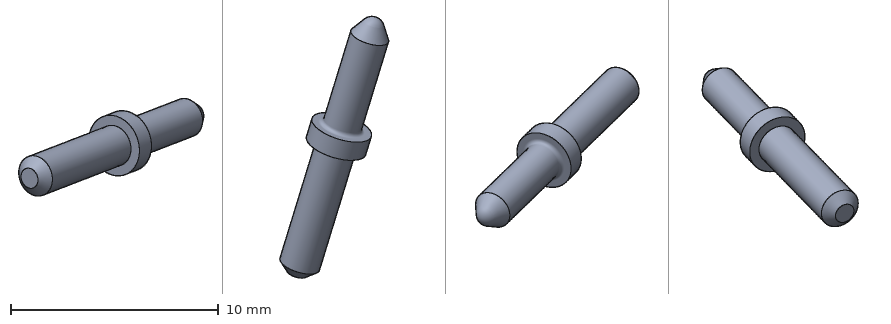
import cadquery as cq
import math

total_length = 14.0
rod_length = total_length / 2
collar_thickness = total_length / 14

rod_radius = total_length / 14
collar_radius = 1.5 * rod_radius
shaft_radius = 0.95

rod_chamfer = rod_radius / 2
root_fillet = 0.2
nose_length = collar_thickness
tip_radius = 0.6


def make_rod():
    """Plain rod with a chamfered free end; its other end butts on the collar."""
    cylinder = cq.Workplane("XZ").circle(rod_radius).extrude(-rod_length)
    return cylinder.faces("<Y").chamfer(rod_chamfer)


def make_collared_shaft():
    """Collar and guide shaft with a filleted root and a ball-tipped conical nose."""
    collar_top = rod_length + collar_thickness
    nose_start = total_length - nose_length
    tip_center = total_length - tip_radius

    base_offset = nose_start - tip_center
    base_distance = math.hypot(shaft_radius, base_offset)
    tangent_angle = math.atan2(base_offset, shaft_radius) + math.acos(tip_radius / base_distance)
    middle_angle = (tangent_angle + math.pi / 2) / 2

    def point_on_tip(angle):
        return (tip_radius * math.cos(angle), tip_center + tip_radius * math.sin(angle))

    profile = (
        cq.Workplane("XY")
        .moveTo(0, rod_length)
        .lineTo(collar_radius, rod_length)
        .lineTo(collar_radius, collar_top)
        .lineTo(shaft_radius + root_fillet, collar_top)
        .radiusArc((shaft_radius, collar_top + root_fillet), root_fillet)
        .lineTo(shaft_radius, nose_start)
        .lineTo(*point_on_tip(tangent_angle))
        .threePointArc(point_on_tip(middle_angle), (0, total_length))
        .close()
    )
    return profile.revolve(360, (0, 0, 0), (0, 1, 0))


rod = make_rod()
collared_shaft = make_collared_shaft()

result = cq.Compound.makeCompound([rod.val(), collared_shaft.val()])